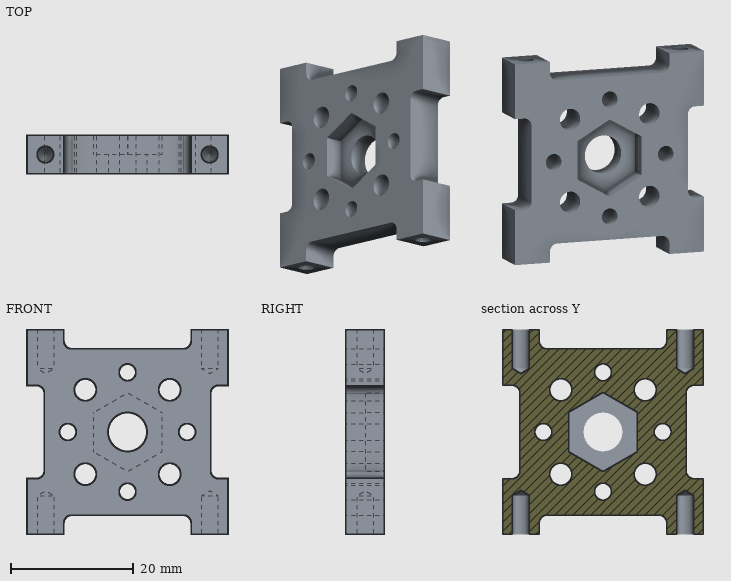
import cadquery as cq
import math

width = 33.02
thickness = 6.35
height = 33.53

body_side = 27.305

leg_width = 6.096
end_notch_width = width - 2 * leg_width
side_notch_height = 15.24
notch_radius = 1.27

bore_diameter = 6.35
bolt_circle_radius = 9.779
large_hole_diameter = 3.556
small_hole_diameter = 2.705
holes_per_set = 4
diagonal_start_angle = 45

nut_across_flats = 11.176
nut_pocket_depth = thickness / 2
hex_sides = 6

leg_hole_diameter = small_hole_diameter
leg_hole_depth = 6.35
drill_point_angle = 118
leg_hole_x = (width - leg_width) / 2


def make_blank():
    """Plain rectangular plate."""
    return cq.Workplane("XY").box(width, thickness, height)


def end_notch(side):
    """Cutter for the top (side=1) or bottom (side=-1) edge, with rounded inner corners."""
    depth = (height - body_side) / 2
    inner_edges = "|Y and <Z" if side > 0 else "|Y and >Z"
    return (
        cq.Workplane("XY")
        .box(end_notch_width, thickness, depth)
        .edges(inner_edges)
        .fillet(notch_radius)
        .translate((0, 0, side * (body_side + depth) / 2))
    )


def side_notch(side):
    """Cutter for the +X (side=1) or -X (side=-1) edge, with rounded inner corners."""
    depth = (width - body_side) / 2
    inner_edges = "|Y and <X" if side > 0 else "|Y and >X"
    return (
        cq.Workplane("XY")
        .box(depth, thickness, side_notch_height)
        .edges(inner_edges)
        .fillet(notch_radius)
        .translate((side * (body_side + depth) / 2, 0, 0))
    )


def bolt_circle_holes(diameter, start_angle):
    """Cutters for one evenly spaced set of through holes on the bolt circle."""
    return (
        cq.Workplane("XZ")
        .polarArray(bolt_circle_radius, start_angle, 360, holes_per_set)
        .circle(diameter / 2)
        .extrude(thickness / 2, both=True)
    )


def centre_bore():
    """Cutter for the through bore in the middle of the plate."""
    return cq.Workplane("XZ").circle(bore_diameter / 2).extrude(thickness / 2, both=True)


def nut_pocket():
    """Cutter for the hexagonal pocket, with corners pointing up and down."""
    across_corners = nut_across_flats / math.cos(math.pi / hex_sides)
    return (
        cq.Workplane("XZ", origin=(0, thickness / 2, 0))
        .transformed(rotate=(0, 0, 90))
        .polygon(hex_sides, across_corners)
        .extrude(nut_pocket_depth)
    )


def leg_hole(x, side):
    """Cutter for a blind hole with a conical bottom in the top (side=1) or bottom (side=-1) leg end."""
    radius = leg_hole_diameter / 2
    point_length = radius / math.tan(math.radians(drill_point_angle / 2))
    end_z = side * height / 2
    floor_z = end_z - side * leg_hole_depth
    tip_z = floor_z - side * point_length
    return (
        cq.Workplane("XZ")
        .polyline([(0, end_z), (radius, end_z), (radius, floor_z), (0, tip_z)])
        .close()
        .revolve(360, (0, 0, 0), (0, 1, 0))
        .translate((x, 0, 0))
    )


result = make_blank()

for side in (-1, 1):
    result = result.cut(end_notch(side)).cut(side_notch(side))

result = result.cut(centre_bore())
result = result.cut(nut_pocket())
result = result.cut(bolt_circle_holes(small_hole_diameter, 0))
result = result.cut(bolt_circle_holes(large_hole_diameter, diagonal_start_angle))

for side in (-1, 1):
    for x in (-leg_hole_x, leg_hole_x):
        result = result.cut(leg_hole(x, side))